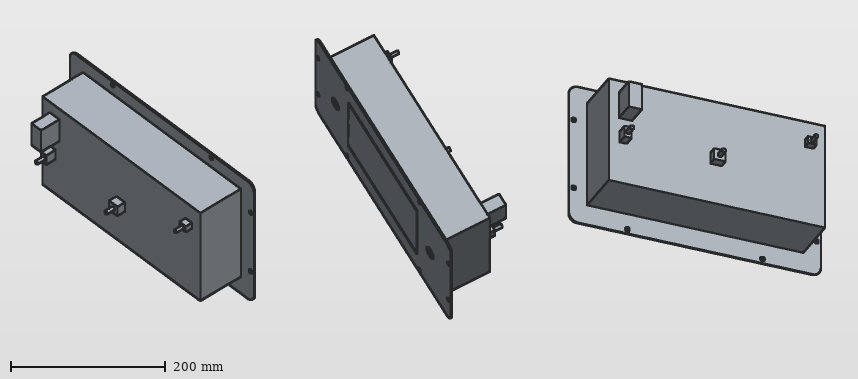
import cadquery as cq

PLATE_WIDTH = 355.5
PLATE_HEIGHT = 203.0
PLATE_THICKNESS = 2.0
CORNER_RADIUS = 12.0

HOLE_DIAMETER = 6.0
HOLE_INSET = 6.5
TOP_HOLE_SPACING = 190.5
SIDE_HOLE_SPACING = 101.7

HOUSING_WIDTH = 305.0
HOUSING_HEIGHT = 152.2
HOUSING_DEPTH = 70.5
HOUSING_RISE = 3.5

RAISED_THICKNESS = 1.0
DISPLAY_WIDTH = 180.0
DISPLAY_HEIGHT = 121.0
DISPLAY_RISE = 3.0
BUTTON_DIAMETER = 17.0
BUTTON_SPACING = 249.0

CONNECTOR_WIDTH = 18.5
CONNECTOR_HEIGHT = 37.7
CONNECTOR_DEPTH = 32.0
CONNECTOR_X = -129.0
CONNECTOR_Z = 42.5

SHAFT_LENGTH = 12.8
CONTROLS = [
    (-132.3, -4.3, 10.0, 16.0, 16.0, 5.7),
    (-1.5, -6.5, 16.0, 16.0, 12.8, 5.7),
    (130.0, 47.0, 12.0, 10.0, 10.5, 5.0),
]

HOUSING_FACE_Y = -HOUSING_DEPTH


def block(width, depth, height, x, back_y, z):
    """Box whose +Y face is at back_y, centred on x and z."""
    return cq.Workplane("XY").box(width, depth, height).translate((x, back_y - depth / 2, z))


def cylinder(diameter, length, x, back_y, z):
    """Round bar extending toward -Y from back_y."""
    return cq.Workplane("XZ", origin=(x, back_y, z)).circle(diameter / 2).extrude(length)


def mounting_plate():
    plate = block(PLATE_WIDTH, PLATE_THICKNESS, PLATE_HEIGHT, 0, PLATE_THICKNESS, 0)
    plate = plate.edges("|Y").fillet(CORNER_RADIUS)
    side_x = PLATE_WIDTH / 2 - HOLE_INSET
    top_z = PLATE_HEIGHT / 2 - HOLE_INSET
    for x_sign in (-1, 1):
        for z_sign in (-1, 1):
            for x, z in ((TOP_HOLE_SPACING / 2, top_z), (side_x, SIDE_HOLE_SPACING / 2)):
                hole = cylinder(HOLE_DIAMETER, PLATE_THICKNESS, x_sign * x, PLATE_THICKNESS, z_sign * z)
                plate = plate.cut(hole)
    return plate


def control(x, z, width, height, depth, shaft_diameter):
    body = block(width, depth, height, x, HOUSING_FACE_Y, z)
    shaft = cylinder(shaft_diameter, SHAFT_LENGTH, x, HOUSING_FACE_Y - depth, z)
    return body.union(shaft)


result = mounting_plate()
result = result.union(block(HOUSING_WIDTH, HOUSING_DEPTH, HOUSING_HEIGHT, 0, 0, HOUSING_RISE))

raised_y = PLATE_THICKNESS + RAISED_THICKNESS
result = result.union(block(DISPLAY_WIDTH, RAISED_THICKNESS, DISPLAY_HEIGHT, 0, raised_y, DISPLAY_RISE))
for side in (-1, 1):
    button_x = side * BUTTON_SPACING / 2
    result = result.union(cylinder(BUTTON_DIAMETER, RAISED_THICKNESS, button_x, raised_y, DISPLAY_RISE))

connector = block(
    CONNECTOR_WIDTH, CONNECTOR_DEPTH, CONNECTOR_HEIGHT, CONNECTOR_X, HOUSING_FACE_Y, CONNECTOR_Z
)
result = result.union(connector)
for dimensions in CONTROLS:
    result = result.union(control(*dimensions))